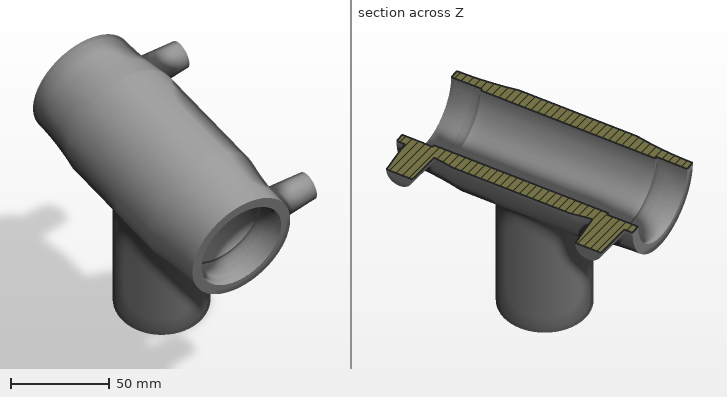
import math

import cadquery as cq

body_length = 139.0
body_diameter = 68.0
end_diameter = 61.5
half_length = body_length / 2
half_straight = half_length / 2
body_radius = body_diameter / 2
end_radius = end_diameter / 2

bore_diameter = 47.5
socket_diameter = 50.0
socket_depth = 18.0

groove_diameter = 50.2
groove_start = 12.7

branch_diameter = 50.0
branch_reach = 102.0

terminal_inset = half_length / 5
terminal_x = half_length - terminal_inset
terminal_reach = 52.0
terminal_tip_radius = 15.4 / 2
terminal_root_radius = 19.2 / 2
terminal_root_y = socket_diameter / 2


def make_body():
    """Barrel: straight in the middle, with ends that curve in and level out at the faces."""
    taper_length = half_length - half_straight
    taper_drop = body_radius - end_radius
    arc_radius = (taper_length**2 + taper_drop**2) / (2 * taper_drop)
    mid_x = half_length - taper_length / 2
    mid_radius = end_radius + arc_radius - math.sqrt(arc_radius**2 - (taper_length / 2) ** 2)
    return (
        cq.Workplane("XY")
        .moveTo(-half_length, 0)
        .lineTo(-half_length, end_radius)
        .threePointArc((-mid_x, mid_radius), (-half_straight, body_radius))
        .lineTo(half_straight, body_radius)
        .threePointArc((mid_x, mid_radius), (half_length, end_radius))
        .lineTo(half_length, 0)
        .close()
        .revolve(360, (0, 0, 0), (1, 0, 0))
    )


def make_branch():
    """Round branch from the main axis down."""
    return cq.Workplane("XY").circle(branch_diameter / 2).extrude(-branch_reach)


def make_terminal(x):
    """Tapered stub along +Y, rooted inside the wall of the main run."""
    return (
        cq.Workplane("XY")
        .moveTo(x, terminal_root_y)
        .lineTo(x + terminal_root_radius, terminal_root_y)
        .lineTo(x + terminal_tip_radius, terminal_reach)
        .lineTo(x, terminal_reach)
        .close()
        .revolve(360, (x, terminal_root_y, 0), (x, terminal_reach, 0))
    )


def make_disc(side, diameter, start_depth, end_depth):
    """Cylinder on the main axis between two depths from the end face on the given side."""
    return (
        cq.Workplane("YZ")
        .workplane(offset=side * (half_length - start_depth))
        .circle(diameter / 2)
        .extrude(-side * (end_depth - start_depth))
    )


result = make_body().union(make_branch())
for side in (-1, 1):
    result = result.union(make_terminal(side * terminal_x))

result = result.cut(make_disc(1, bore_diameter, 0, body_length))
for side in (-1, 1):
    result = result.cut(make_disc(side, socket_diameter, 0, socket_depth))
    result = result.cut(make_disc(side, groove_diameter, groove_start, socket_depth))